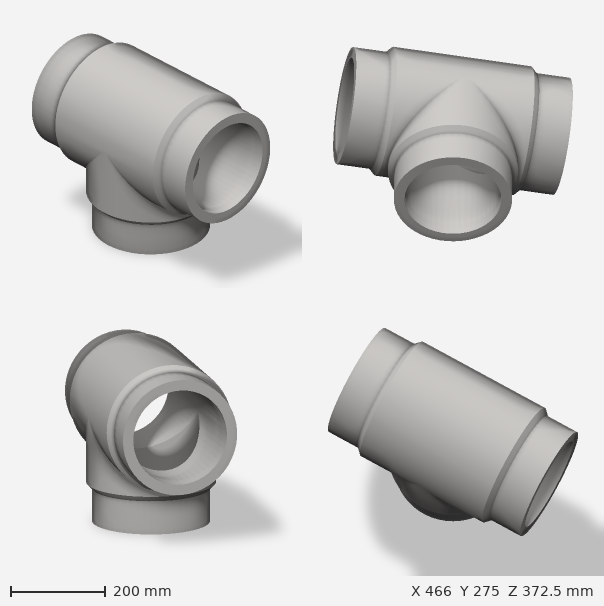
import cadquery as cq

run_length = 466.0
branch_length = 235.0
body_diameter = 275.0
spigot_diameter = 250.0
bore_diameter = 204.5
spigot_length = 72.0
chamfer = (body_diameter - spigot_diameter) / 2


def run_cylinder(diameter, length):
    """Cylinder along X, centred on the origin."""
    return cq.Workplane("YZ", origin=(-length / 2, 0, 0)).circle(diameter / 2).extrude(length)


def branch_cylinder(diameter, length):
    """Cylinder reaching down from the run axis."""
    return cq.Workplane("XY").circle(diameter / 2).extrude(-length)


run_body = run_cylinder(body_diameter, run_length - 2 * spigot_length).faces("<X or >X").chamfer(chamfer)
branch_body = branch_cylinder(body_diameter, branch_length - spigot_length).faces("<Z").chamfer(chamfer)

outer_tee = (
    run_body.union(branch_body)
    .union(run_cylinder(spigot_diameter, run_length))
    .union(branch_cylinder(spigot_diameter, branch_length))
)

result = (
    outer_tee
    .cut(run_cylinder(bore_diameter, run_length))
    .cut(branch_cylinder(bore_diameter, branch_length))
)